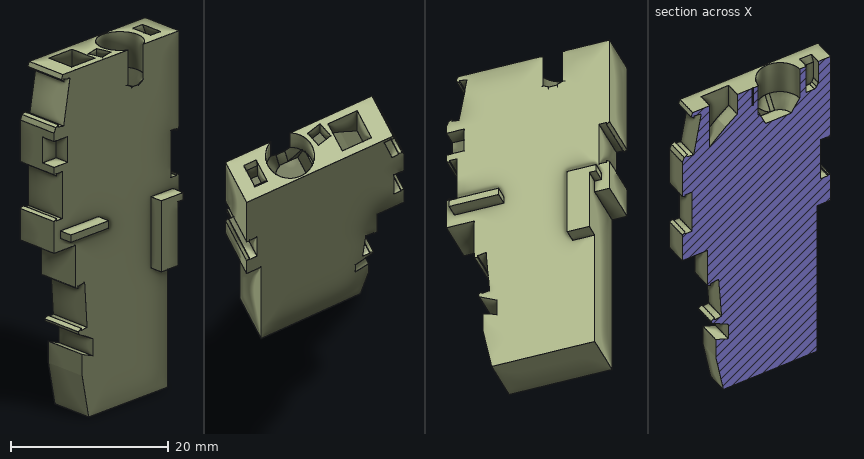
import cadquery as cq

HEIGHT = 48.6
DEPTH = 22.3
BODY_WIDTH = 6.15
TAB_LENGTH = 1.9

LOBE_TOP_Z = 35.25
LOBE_FLOOR_Z = 28.75
LOBE_BOTTOM_Z = 24.4
GROOVE_DEPTH = 1.45
BARB_HEIGHT = 0.3
BARB_WIDTH = 0.45
BACK_STEP = 2.05
FRONT_STEP = 3.8


def groove_outline(face_y, inward):
    """Points of one edge groove, from its upper barb down to its lower barb."""
    heel_y = face_y + inward * BARB_WIDTH
    wall_y = face_y + inward * GROOVE_DEPTH
    return [
        (face_y, LOBE_TOP_Z),
        (heel_y, LOBE_TOP_Z - BARB_HEIGHT),
        (heel_y, LOBE_TOP_Z),
        (wall_y, LOBE_TOP_Z),
        (wall_y, LOBE_FLOOR_Z),
        (heel_y, LOBE_FLOOR_Z),
        (heel_y, LOBE_FLOOR_Z + BARB_HEIGHT),
        (face_y, LOBE_FLOOR_Z),
    ]


upper_front = [
    (1.55, HEIGHT), (1.3, 47.95), (1.8, 47.55), (1.8, 47.85), (2.8, 47.73),
    (1.7, 41.45), (0.8, 41.6), (0.8, 41.9), (0.3, 41.65), (0, 40.95),
]
lower_front = [
    (0, LOBE_BOTTOM_Z), (FRONT_STEP, LOBE_BOTTOM_Z),
    (FRONT_STEP, 18.5), (4.3, 18.3), (4.3, 18.6), (5.45, 18.8),
    (5.9, 12.5), (4.85, 12.35), (4.85, 12.65), (4.33, 12.3), (4.4, 11.9),
    (6.9, 10.6), (6.9, 8.25), (5.0, 9.0), (5.0, 6.05), (6.15, 0),
]
back_edge = [
    (DEPTH - BACK_STEP, 0), (DEPTH - BACK_STEP, LOBE_BOTTOM_Z), (DEPTH, LOBE_BOTTOM_Z),
    *reversed(groove_outline(DEPTH, -1)), (DEPTH, HEIGHT),
]


def side_prism(outline, x_start, x_end):
    """Extrude a (Y, Z) outline along X."""
    return cq.Workplane("YZ", origin=(x_start, 0, 0)).polyline(outline).close().extrude(x_end - x_start)


def block(x_range, y_range, z_range):
    """Axis-aligned box between the given limits."""
    sizes = [high - low for low, high in (x_range, y_range, z_range)]
    corner = (x_range[0], y_range[0], z_range[0])
    return cq.Workplane().box(*sizes, centered=False).translate(corner)


body = side_prism(upper_front + groove_outline(0, 1) + lower_front + back_edge, 0, BODY_WIDTH)

TAB_Z = (26.15, 27.15)
FRONT_TAB_Y = (1.1, 7.85)
BACK_TAB_Y = (17.25, 21.2)
LEG_BOTTOM_Z = 17.35
tab_x = (BODY_WIDTH, BODY_WIDTH + TAB_LENGTH)
leg_y = (BACK_TAB_Y[0], DEPTH - BACK_STEP)
body = (
    body.union(block(tab_x, FRONT_TAB_Y, TAB_Z))
    .union(block(tab_x, BACK_TAB_Y, TAB_Z))
    .union(block(tab_x, leg_y, (LEG_BOTTOM_Z, TAB_Z[0])))
)

NOTCH_WIDTH = 2.1
NOTCH_DEPTH = 2.45
NOTCH_Z = (36.25, 39.8)
body = body.cut(block((BODY_WIDTH - NOTCH_WIDTH, BODY_WIDTH), (0, NOTCH_DEPTH), NOTCH_Z))

ENTRY_X = 3.35
ENTRY_Y = 14.55
ENTRY_RADIUS = 3.1
ENTRY_DEPTH = 4.85
DUCT_RADIUS = 1.85
FUNNEL_DEPTH = 1.95
DUCT_FLAT_Y = 12.55
DUCT_RIM_Y = 11.65
LEFT_RAMP_WIDTH = 0.65
RIGHT_RAMP_WIDTH = 1.25
funnel_top_z = HEIGHT - ENTRY_DEPTH
duct_floor_z = funnel_top_z - FUNNEL_DEPTH


def wire_entry():
    """Solid that fills the bore, funnel, duct and side ramps of the wire entry."""
    axis = (ENTRY_X, ENTRY_Y)
    bore = cq.Workplane("XY", origin=(*axis, funnel_top_z)).circle(ENTRY_RADIUS).extrude(ENTRY_DEPTH)
    funnel = (
        cq.Workplane("XY", origin=(*axis, funnel_top_z)).circle(ENTRY_RADIUS)
        .workplane(offset=-FUNNEL_DEPTH).circle(DUCT_RADIUS).loft(ruled=True)
    )
    behind_ramp = [
        (DUCT_RIM_Y, funnel_top_z), (DUCT_FLAT_Y, duct_floor_z),
        (DEPTH, duct_floor_z), (DEPTH, funnel_top_z),
    ]
    funnel = funnel.intersect(side_prism(behind_ramp, ENTRY_X - ENTRY_RADIUS, ENTRY_X + ENTRY_RADIUS))
    duct_outline = [
        (ENTRY_Y, funnel_top_z), (DUCT_RIM_Y, funnel_top_z),
        (DUCT_FLAT_Y, duct_floor_z), (ENTRY_Y, duct_floor_z),
    ]
    duct = side_prism(duct_outline, ENTRY_X - DUCT_RADIUS, ENTRY_X + DUCT_RADIUS)
    entry = bore.union(funnel).union(duct)
    for side, width in ((-1, LEFT_RAMP_WIDTH), (1, RIGHT_RAMP_WIDTH)):
        ramp = (
            cq.Workplane("XZ", origin=(0, ENTRY_Y + width / 2, 0))
            .moveTo(ENTRY_X, funnel_top_z)
            .lineTo(ENTRY_X + side * ENTRY_RADIUS, funnel_top_z)
            .lineTo(ENTRY_X + side * DUCT_RADIUS, duct_floor_z)
            .lineTo(ENTRY_X, duct_floor_z)
            .close().extrude(width)
        )
        entry = entry.union(ramp)
    return entry


SOCKET_X = (1.45, 4.7)
SOCKET_Y = (18.65, 20.4)
SOCKET_DUCT_X = (1.95, 4.3)
SOCKET_FUNNEL_DEPTH = 0.9
SOCKET_FLOOR_Z = 44.25
SOCKET_DUCT_OUTLINE = [
    (SOCKET_Y[0], HEIGHT - SOCKET_FUNNEL_DEPTH), (SOCKET_Y[1], HEIGHT - SOCKET_FUNNEL_DEPTH),
    (SOCKET_Y[1], 45.05), (20.15, 44.45), (19.85, SOCKET_FLOOR_Z), (SOCKET_Y[0], SOCKET_FLOOR_Z),
]


def test_socket():
    """Solid that fills the socket: a mouth tapered in X above a narrower duct."""
    duct_top_z = HEIGHT - SOCKET_FUNNEL_DEPTH
    funnel = (
        cq.Workplane("XZ", origin=(0, SOCKET_Y[1], 0))
        .polyline([
            (SOCKET_X[0], HEIGHT), (SOCKET_X[1], HEIGHT),
            (SOCKET_DUCT_X[1], duct_top_z), (SOCKET_DUCT_X[0], duct_top_z),
        ]).close().extrude(SOCKET_Y[1] - SOCKET_Y[0])
    )
    return funnel.union(side_prism(SOCKET_DUCT_OUTLINE, *SOCKET_DUCT_X))


SHAFT_X = (1.0, 5.15)
SHAFT_OUTLINE = [
    (4.15, HEIGHT), (8.25, HEIGHT), (8.25, 45.3), (6.5, 43.95), (4.15, 41.7),
]

POCKET_CENTRE = (4.33, 9.9)
POCKET_SIZE = (2.15, 2.05)
POCKET_DEPTH = 2.9
POCKET_ANGLE = 14
pocket = (
    cq.Workplane().rect(*POCKET_SIZE).extrude(POCKET_DEPTH)
    .rotate((0, 0, 0), (0, 0, 1), POCKET_ANGLE)
    .translate((*POCKET_CENTRE, HEIGHT - POCKET_DEPTH))
)

result = (
    body.cut(wire_entry()).cut(test_socket())
    .cut(side_prism(SHAFT_OUTLINE, *SHAFT_X)).cut(pocket)
)